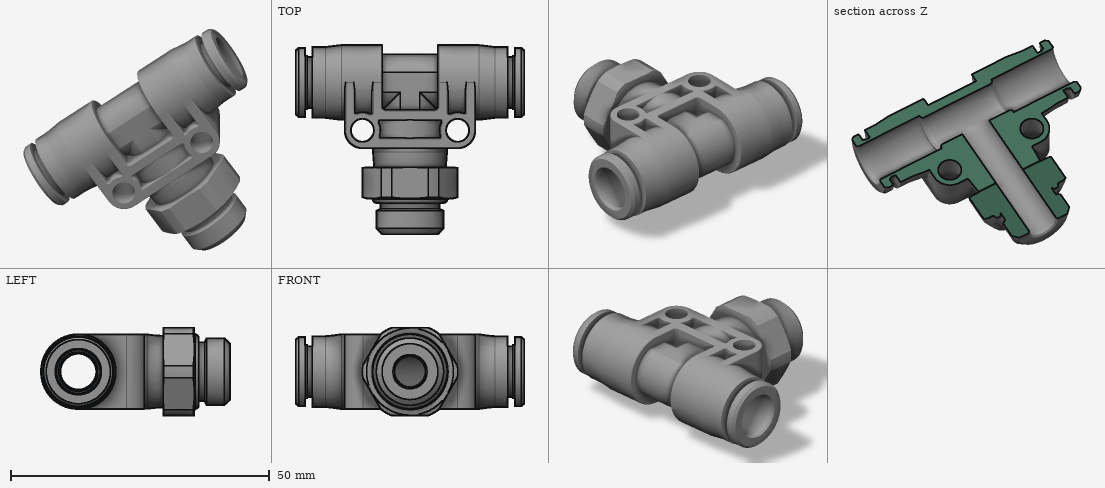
import cadquery as cq
import math


run_half_length = 22.1
collar_radius = 6.7
collar_length = 1.85
collar_chamfer_length = 0.6
collar_face_radius = 6.2
shoulder_radius = 5.15
shoulder_length = 0.4
neck_radius = 4.95
sleeve_start = 18.85
sleeve_radius = 6.87
taper_start = 16.4
taper_end = 13.3
body_radius = 7.25
run_bore_radius = 3.45
tube_bore_radius = 4.22
tube_bore_depth = 14.0
tube_stop_radius = 3.8
tube_stop_chamfer_length = 0.5
mouth_radius = 4.47
mouth_chamfer_length = 0.4

core_radius = 5.5
core_flat_height = 5.15
saddle_half_width = 5.35
saddle_bottom = -5.25
saddle_corner_radius = 0.7

bracket_half_width = 12.65
bracket_bottom = -12.75
bracket_corner_radius = 3.5
hole_x = 9.2
hole_y = -9.25
hole_radius = 2.2
boss_radius = 3.5
outer_rib_width = 1.95
inner_rib_x = 7.35
window_top = -7.3
window_bottom = -10.7
opening_corner_radius = 0.3
bracket_edge_radius = 0.2

branch_radius = 7.2
branch_taper_start = -13.35
branch_end_radius = 6.95
branch_bore_radius = 2.98

hex_top = -16.4
hex_bottom = -22.45
hex_across_flats = 17.0
hex_corner_radius = 9.22
hex_face_radius = 8.4
hex_top_chamfer = 0.12
hex_bottom_chamfer = 0.27
seat_radius = 7.35
seat_bottom = -22.57
bead_outer_radius = 7.2
undercut_radius = 5.72
undercut_end = -24.42
thread_radius = 6.5
thread_start = -24.8
thread_chamfer_start = -28.2
thread_end_radius = 5.4
stem_end = -29.35
stem_mouth_radius = 3.3


def x_cylinder(radius, half_length):
    return cq.Workplane("YZ").circle(radius).extrude(half_length, both=True)


def y_cylinder(radius, start, end):
    return cq.Workplane("XZ", origin=(0, start, 0)).circle(radius).extrude(start - end)


def z_box(x_min, x_max, y_min, y_max, half_height):
    return (
        cq.Workplane("XY")
        .center((x_min + x_max) / 2, (y_min + y_max) / 2)
        .rect(x_max - x_min, y_max - y_min)
        .extrude(half_height, both=True)
    )


def run_end():
    """Sleeve and release collar at the +X end, from the saddle wall outward."""
    collar_back = run_half_length - collar_length
    shoulder_back = collar_back - shoulder_length
    profile = [
        (saddle_half_width, 0),
        (saddle_half_width, body_radius),
        (taper_end, body_radius),
        (taper_start, sleeve_radius),
        (sleeve_start, sleeve_radius),
        (sleeve_start, neck_radius),
        (shoulder_back, neck_radius),
        (shoulder_back, shoulder_radius),
        (collar_back, shoulder_radius),
        (collar_back, collar_radius),
        (run_half_length - collar_chamfer_length, collar_radius),
        (run_half_length, collar_face_radius),
        (run_half_length, 0),
    ]
    end = cq.Workplane("XY").polyline(profile).close().revolve(360, (0, 0, 0), (1, 0, 0))
    inner_rim = end.faces("<X").edges()
    return inner_rim.fillet(bracket_edge_radius)


def tee_core():
    """Crossing round cores of the run and the branch, flattened top and bottom."""
    core = x_cylinder(core_radius, saddle_half_width + bracket_edge_radius)
    core = core.union(y_cylinder(core_radius, 0, window_top))
    slab = z_box(-body_radius, body_radius, -2 * body_radius, body_radius, core_flat_height)
    return core.intersect(slab)


def bracket():
    """Flat mounting plate with ribs, pockets, screw bosses and the centre window."""
    through = 2 * body_radius
    plate = z_box(-bracket_half_width, bracket_half_width, bracket_bottom, 0, body_radius)
    plate = plate.edges("|Z and <Y").fillet(bracket_corner_radius)

    saddle = z_box(-saddle_half_width, saddle_half_width, saddle_bottom, through, through)
    plate = plate.cut(saddle.edges("|Z and <Y").fillet(saddle_corner_radius))

    bosses = (
        cq.Workplane("XY")
        .pushPoints([(-hole_x, hole_y), (hole_x, hole_y)])
        .circle(boss_radius)
        .extrude(through, both=True)
    )
    window = z_box(-hole_x, hole_x, window_bottom, window_top, through)
    plate = plate.cut(window.cut(bosses).edges("|Z").fillet(opening_corner_radius))

    pocket_outer_x = bracket_half_width - outer_rib_width
    pocket = z_box(inner_rib_x, pocket_outer_x, hole_y, through, through).cut(bosses)
    pocket = pocket.edges("|Z and (not >Y)").fillet(opening_corner_radius)
    plate = plate.cut(pocket).cut(pocket.mirror("YZ"))
    return plate.faces(">Z or <Z").edges("not(>Y)").fillet(bracket_edge_radius)


def screw_holes():
    return (
        cq.Workplane("XY")
        .pushPoints([(-hole_x, hole_y), (hole_x, hole_y)])
        .circle(hole_radius)
        .extrude(2 * body_radius, both=True)
    )


def branch_neck():
    """Round neck inside the bracket, tapering to the face that meets the hexagon."""
    profile = [
        (0, -body_radius),
        (branch_radius, -body_radius),
        (branch_radius, branch_taper_start),
        (branch_end_radius, hex_top),
        (0, hex_top),
    ]
    return cq.Workplane("XY").polyline(profile).close().revolve(360, (0, 0, 0), (0, 1, 0))


def run_bore():
    """Through bore along X, widened at both ends for the tubes."""
    seat = run_half_length - tube_bore_depth
    profile = [
        (0, 0),
        (0, run_bore_radius),
        (seat - tube_stop_chamfer_length, run_bore_radius),
        (seat, tube_stop_radius),
        (seat, tube_bore_radius),
        (run_half_length - mouth_chamfer_length, tube_bore_radius),
        (run_half_length, mouth_radius),
        (run_half_length, 0),
    ]
    half = cq.Workplane("XY").polyline(profile).close().revolve(360, (0, 0, 0), (1, 0, 0))
    return half.union(half.mirror("YZ"))


def make_housing():
    end = run_end()
    housing = bracket().union(branch_neck()).union(end).union(end.mirror("YZ"))
    housing = housing.union(tee_core()).cut(screw_holes())
    return housing.cut(run_bore()).cut(y_cylinder(branch_bore_radius, 0, hex_top))


def hexagon():
    """Hexagon with flats toward +Z and -Z, its corners turned round and chamfered."""
    across_corners = hex_across_flats / math.cos(math.pi / 6)
    prism = (
        cq.Workplane("XZ", origin=(0, hex_top, 0))
        .polygon(6, across_corners)
        .extrude(hex_top - hex_bottom)
    )
    profile = [
        (0, hex_top),
        (hex_face_radius, hex_top),
        (hex_corner_radius, hex_top - hex_top_chamfer),
        (hex_corner_radius, hex_bottom + hex_bottom_chamfer),
        (hex_face_radius, hex_bottom),
        (0, hex_bottom),
    ]
    turned = cq.Workplane("XY").polyline(profile).close().revolve(360, (0, 0, 0), (0, 1, 0))
    return prism.intersect(turned)


def threaded_end():
    """Seat, half-round sealing bead, undercut and thread below the hexagon."""
    bead_radius = (bead_outer_radius - undercut_radius) / 2
    profile = (
        cq.Workplane("XY")
        .moveTo(0, hex_bottom)
        .lineTo(seat_radius, hex_bottom)
        .lineTo(seat_radius, seat_bottom)
        .lineTo(bead_outer_radius, seat_bottom)
        .threePointArc(
            (bead_outer_radius - bead_radius, seat_bottom - bead_radius),
            (undercut_radius, seat_bottom),
        )
        .lineTo(undercut_radius, undercut_end)
        .lineTo(thread_radius, thread_start)
        .lineTo(thread_radius, thread_chamfer_start)
        .lineTo(thread_end_radius, stem_end)
        .lineTo(0, stem_end)
        .close()
    )
    return profile.revolve(360, (0, 0, 0), (0, 1, 0))


def make_stem():
    stem = hexagon().union(threaded_end()).cut(y_cylinder(branch_bore_radius, hex_top, stem_end))
    mouth_chamfer = stem_mouth_radius - branch_bore_radius
    mouth_edge = stem.faces("<Y").edges(cq.selectors.RadiusNthSelector(0))
    return mouth_edge.chamfer(mouth_chamfer)


housing = make_housing()
stem = make_stem()

result = cq.Compound.makeCompound([housing.solids().val(), stem.solids().val()])